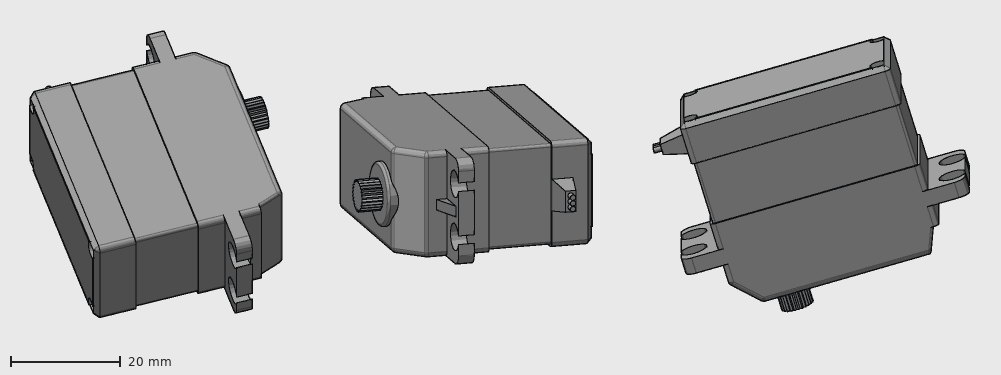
import cadquery as cq
import math


CASE_LENGTH = 39.95
CASE_HEIGHT = 20.0
EDGE_ROUND = 1.0
CAP_FRONT = 8.0
MIDDLE_FRONT = 20.0
CASE_FRONT = 37.0
MIDDLE_INSET = 0.5

LEFT_SLOPE = 5.0
LEDGE_WIDTH = EDGE_ROUND
RIGHT_SLOPE_RUN = 2.0
RIGHT_SLOPE_ROUND = 0.5
SLOPE_START = CASE_FRONT - LEFT_SLOPE

EAR_SPAN = 54.0
EAR_BACK = 25.0
EAR_THICKNESS = 3.0
EAR_CORNER_ROUND = 2.0
EAR_HOLE_DIAMETER = 5.0
EAR_HOLE_X = 24.6
EAR_HOLE_Z = 5.0
GUSSET_LENGTH = 5.5
GUSSET_HEIGHT = 2.0
GUSSET_WIDTH = 2.0

SHAFT_X = LEFT_SLOPE * 2 - CASE_LENGTH / 2
BOSS_DIAMETER = 12.0
BOSS_HEIGHT = 1.0
BOSS_ROUND = 0.5
SHAFT_DIAMETER = 6.0
SHAFT_LENGTH = 4.0
TOOTH_COUNT = 25
TOOTH_DEPTH = 0.3
BOSS_FRONT = CASE_FRONT + BOSS_HEIGHT

CAP_CHAMFER = 0.95
LIP_HEIGHT = 0.15
POCKET_DIAMETER = 3.1
POCKET_DEPTH = 1.0
POCKET_EDGE_DISTANCE = 2.0

RELIEF_LENGTH = 5.0
RELIEF_BASE = (4.0, 6.0)
RELIEF_TIP = (2.0, 4.0)
RELIEF_Y = CAP_FRONT - RELIEF_BASE[0] / 2
WIRE_DIAMETER = 1.0
WIRE_PITCH = 1.1
WIRE_COUNT = 3
WIRE_LENGTH = 1.5

HALF_LENGTH = CASE_LENGTH / 2


def box(x_range, y_range, z_size):
    """Box between two x and two y limits, centred on z = 0."""
    x_size = x_range[1] - x_range[0]
    y_size = y_range[1] - y_range[0]
    return (
        cq.Workplane("XY")
        .box(x_size, y_size, z_size)
        .translate((sum(x_range) / 2, sum(y_range) / 2, 0))
    )


def plate(outline, thickness):
    """Closed XY outline extruded evenly to both sides of z = 0."""
    return cq.Workplane("XY").polyline(outline).close().extrude(thickness / 2, both=True)


def rod_along_y(diameter, y_start, y_end, x, z):
    """Round rod parallel to Y."""
    axis = cq.Vector(0, 1, 0)
    return cq.Workplane(cq.Solid.makeCylinder(diameter / 2, y_end - y_start, cq.Vector(x, y_start, z), axis))


def case_shell():
    """Front case block: rounded 45 degree slope on the left, steeper slope above a ledge on the right."""
    ledge_x = HALF_LENGTH - LEDGE_WIDTH
    slope_top_x = ledge_x - RIGHT_SLOPE_RUN
    slope_rise = CASE_FRONT - SLOPE_START
    slope_foot_x = slope_top_x + RIGHT_SLOPE_RUN * (CASE_FRONT - MIDDLE_FRONT) / slope_rise

    sloped_block = plate(
        [
            (-HALF_LENGTH, MIDDLE_FRONT),
            (slope_foot_x, MIDDLE_FRONT),
            (slope_top_x, CASE_FRONT),
            (-HALF_LENGTH + LEFT_SLOPE, CASE_FRONT),
            (-HALF_LENGTH, SLOPE_START),
        ],
        CASE_HEIGHT,
    )
    right_slope = cq.selectors.ParallelDirSelector(cq.Vector(slope_rise, RIGHT_SLOPE_RUN, 0))
    left_and_front_edges = sloped_block.edges("not <Y").filter(
        lambda edge: edge.Center().x < slope_top_x - EDGE_ROUND
    )
    sloped_block = left_and_front_edges.fillet(EDGE_ROUND)
    sloped_block = sloped_block.faces(right_slope).edges("not <Y").fillet(RIGHT_SLOPE_ROUND)
    sloped_block = sloped_block.intersect(box((-HALF_LENGTH, ledge_x), (MIDDLE_FRONT, CASE_FRONT), CASE_HEIGHT))

    ledge_block = box((0, HALF_LENGTH), (MIDDLE_FRONT, SLOPE_START), CASE_HEIGHT)
    ledge_block = ledge_block.edges("|Y and >X").fillet(EDGE_ROUND)
    return sloped_block.union(ledge_block)


def mounting_ears():
    """Flat ear plate through the case with rounded corners, four open holes and two gussets."""
    ear_front = EAR_BACK + EAR_THICKNESS
    ears = box((-EAR_SPAN / 2, EAR_SPAN / 2), (EAR_BACK, ear_front), CASE_HEIGHT)
    ears = ears.edges("|Y").fillet(EAR_CORNER_ROUND)
    for side in (-1, 1):
        for hole_z in (-EAR_HOLE_Z, EAR_HOLE_Z):
            hole = rod_along_y(EAR_HOLE_DIAMETER, EAR_BACK, ear_front, side * EAR_HOLE_X, hole_z)
            ears = ears.cut(hole)
        gusset = plate(
            [
                (0, ear_front),
                (side * (HALF_LENGTH + GUSSET_LENGTH), ear_front),
                (side * HALF_LENGTH, ear_front + GUSSET_HEIGHT),
                (0, ear_front + GUSSET_HEIGHT),
            ],
            GUSSET_WIDTH,
        )
        ears = ears.union(gusset)
    return ears


def make_front_case():
    """Front case with ears and the round boss under the output shaft."""
    boss = rod_along_y(BOSS_DIAMETER, SLOPE_START, BOSS_FRONT, SHAFT_X, 0)
    boss = boss.faces(">Y").edges().fillet(BOSS_ROUND)
    return case_shell().union(mounting_ears()).union(boss)


def make_middle_case():
    """Slightly smaller block between the rear cap and the front case."""
    half_length = HALF_LENGTH - MIDDLE_INSET
    middle = box((-half_length, half_length), (CAP_FRONT, MIDDLE_FRONT), CASE_HEIGHT - 2 * MIDDLE_INSET)
    return middle.edges("|Y").fillet(EDGE_ROUND - MIDDLE_INSET)


def strain_relief():
    """Tapered cable guard on the left end, with wire stubs leaving its tip."""
    base = cq.Workplane("YZ", origin=(-HALF_LENGTH, RELIEF_Y, 0))
    relief = (
        base.rect(*RELIEF_BASE)
        .workplane(offset=-RELIEF_LENGTH)
        .rect(*RELIEF_TIP)
        .loft(ruled=True)
    )
    tip_x = -HALF_LENGTH - RELIEF_LENGTH
    wires = (
        cq.Workplane("YZ", origin=(tip_x, RELIEF_Y, 0))
        .rarray(0.55, WIRE_PITCH, 1, WIRE_COUNT)
        .circle(WIRE_DIAMETER / 2)
        .extrude(-WIRE_LENGTH)
    )
    return relief.union(wires)


def make_rear_cap():
    """Rear cap with a chamfered back, a thin raised lip, corner pockets and the strain relief."""
    cap = box((-HALF_LENGTH, HALF_LENGTH), (LIP_HEIGHT, CAP_FRONT), CASE_HEIGHT)
    cap = cap.edges("|Y").fillet(EDGE_ROUND)
    back_half_length = HALF_LENGTH - CAP_CHAMFER
    back_height = CASE_HEIGHT - 2 * CAP_CHAMFER
    cap = cap.faces("<Y").edges().chamfer(CAP_CHAMFER)
    cap = cap.union(box((-back_half_length, back_half_length), (0, LIP_HEIGHT), back_height))

    pocket_limit = box((-back_half_length, back_half_length), (0, POCKET_DEPTH), back_height)
    pocket_x = HALF_LENGTH - POCKET_EDGE_DISTANCE
    pocket_z = CASE_HEIGHT / 2 - POCKET_EDGE_DISTANCE
    for x in (-pocket_x, pocket_x):
        for z in (-pocket_z, pocket_z):
            pocket = rod_along_y(POCKET_DIAMETER, 0, POCKET_DEPTH, x, z)
            cap = cap.cut(pocket.intersect(pocket_limit))
    return cap.union(strain_relief())


def make_output_shaft():
    """Splined shaft standing on the boss, with pointed teeth and pointed grooves."""
    tip_radius = SHAFT_DIAMETER / 2
    root_radius = tip_radius - TOOTH_DEPTH
    outline = []
    for i in range(2 * TOOTH_COUNT):
        angle = math.pi * i / TOOTH_COUNT
        radius = tip_radius if i % 2 == 0 else root_radius
        outline.append((radius * math.cos(angle), radius * math.sin(angle)))
    base = cq.Workplane("XZ", origin=(SHAFT_X, BOSS_FRONT, 0))
    return base.polyline(outline).close().extrude(-SHAFT_LENGTH)


front_case = make_front_case()
middle_case = make_middle_case()
rear_cap = make_rear_cap()
output_shaft = make_output_shaft()

result = cq.Compound.makeCompound(
    [front_case.val(), middle_case.val(), rear_cap.val(), output_shaft.val()]
)